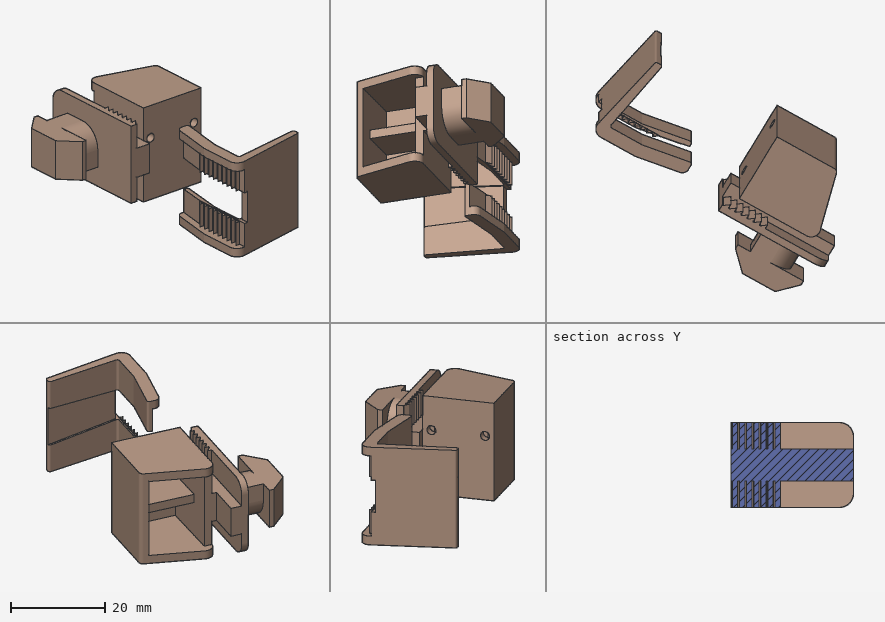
import cadquery as cq
import math


overall_length = 58.15
overall_height = 22.0
wall = 2.0
inner_height = overall_height - 2 * wall
rib_top = 5.1
plate_tooth_count = 7
plate_teeth_length = 10.5
tooth_pitch = plate_teeth_length / plate_tooth_count
tooth_height = 0.95
tooth_flat = 0.3
tooth_slope = tooth_pitch - tooth_flat

plate_length = 26.0
plate_thickness = 1.55
plate_corner_radius = 3.0
rib_height = 6.8
rib_step_x = 7.45
rib_low_top = 4.1

lug_center_x = 9.95
lug_height = 9.0
stem_width = 10.0
stem_length = 5.7
stem_corner_radius = stem_width / 2
head_width = 16.05
head_tip_width = 8.0
head_edge = 1.05
lug_length = 10.75

box_right = 23.9
box_back = 21.0
box_slant = math.radians(15)
box_front_radius = 2.0
box_back_radius = 1.0
cavity_front = rib_top + wall
cavity_back = box_back - wall
cavity_draft = math.radians(0.8)
divider_left = 12.5
divider_thickness = 2.0
hole_diameter = 2.0
hole_z = 3.45

clip_left = 36.5
clip_front = 2.15
clip_back = clip_front + 20.35
arm_bend_x = 47.65
arm_slant = math.radians(9.5)
arm_tip_radius = 1.5
small_radius = 0.45
leg_inner_base_x = 55.65
leg_inner_tip_x = 52.75
leg_tip_width = 1.7
leg_outer_slant = math.radians(11.6)
leg_corner_radius = 2.0
clip_tooth_count = 9
clip_tooth_start = 43.15
clip_tooth_root_y = 4.65
clip_tooth_half_gap = 3.7
slot_half_width = 3.6
slot_flare = math.radians(3)
leg_recess = 0.45
clearance = 0.6


def prism(points, height):
    """Extrude an XY outline by height, centred on Z = 0."""
    return cq.Workplane("XY").polyline(points).close().extrude(height / 2, both=True)


def block(x0, x1, y0, y1, height):
    """Box between X and Y limits, centred on Z = 0."""
    return prism([(x0, y0), (x1, y0), (x1, y1), (x0, y1)], height)


def round_edge(body, x, y, radius):
    """Fillet the vertical edge that passes through the corner (x, y)."""
    reach = 0.03
    near = cq.selectors.BoxSelector(
        (x - reach, y - reach, -overall_height), (x + reach, y + reach, overall_height)
    )
    return body.edges("|Z").edges(near).fillet(radius)


def make_plate():
    """Plate with rounded left corners, the stepped rib and two rows of teeth."""
    plate = block(0, plate_length, 0, plate_thickness, inner_height)
    plate = plate.edges("|Y and <X").fillet(plate_corner_radius)
    rib = prism(
        [
            (0, 0),
            (plate_length, 0),
            (plate_length, rib_top),
            (rib_step_x, rib_top),
            (rib_step_x, rib_low_top),
            (0, rib_low_top),
        ],
        rib_height,
    )
    teeth_start = plate_length - plate_teeth_length
    outline = [(plate_length, 0), (teeth_start, 0)]
    for i in range(plate_tooth_count):
        x = teeth_start + i * tooth_pitch
        outline += [
            (x, plate_thickness),
            (x, plate_thickness + tooth_height),
            (x + tooth_slope, plate_thickness),
        ]
    outline.append((plate_length, plate_thickness))
    return plate.union(rib).union(prism(outline, inner_height))


def make_lug():
    """Quarter-turn lug: stem with two opposite round corners and a tapered head."""
    stem = cq.Workplane("XY").box(stem_width, stem_length, lug_height)
    stem = stem.translate((lug_center_x, -stem_length / 2, 0))
    stem = stem.edges("|Y").edges("(>X and >Z) or (<X and <Z)").fillet(stem_corner_radius)
    half_head = head_width / 2
    half_tip = head_tip_width / 2
    head = prism(
        [
            (lug_center_x - half_head, -stem_length),
            (lug_center_x - half_head, -stem_length - head_edge),
            (lug_center_x - half_tip, -lug_length),
            (lug_center_x + half_tip, -lug_length),
            (lug_center_x + half_head, -stem_length - head_edge),
            (lug_center_x + half_head, -stem_length),
        ],
        lug_height,
    )
    return stem.union(head)


def make_box():
    """Box open on the slanted left side, with a divider and holes in its end wall."""
    corner_tangent = box_front_radius / math.tan((math.pi / 2 - box_slant) / 2)
    front_left = rib_step_x - corner_tangent
    back_left = front_left + (box_back - rib_top) * math.tan(box_slant)
    box = prism(
        [(front_left, rib_top), (box_right, rib_top), (box_right, box_back), (back_left, box_back)],
        overall_height,
    )
    box = round_edge(box, front_left, rib_top, box_front_radius)
    box = round_edge(box, back_left, box_back, box_back_radius)

    cavity_end = box_right - wall
    widening = (cavity_end - rib_step_x) * math.tan(cavity_draft)
    cavity = prism(
        [
            (0, rib_top),
            (rib_step_x, rib_top),
            (rib_step_x, cavity_front - widening),
            (cavity_end, cavity_front),
            (cavity_end, cavity_back),
            (rib_step_x, cavity_back + widening),
            (0, cavity_back + widening),
        ],
        inner_height,
    )
    divider = block(divider_left, box_right, rib_top + wall / 2, box_back - wall / 2, divider_thickness)
    box = box.cut(cavity).union(divider)

    for y in (cavity_front, cavity_back):
        hole = cq.Workplane("YZ").center(y, hole_z).circle(hole_diameter / 2).extrude(wall)
        box = box.cut(hole.translate((cavity_end, 0, 0)))
    return box


def make_housing():
    return make_plate().union(make_lug()).union(make_box())


def make_clip_blank():
    """L-shaped clip profile at full height: bent arm along X and tapered leg along Y."""
    arm_rise = (arm_bend_x - clip_left) * math.tan(arm_slant)
    corner_tangent = leg_corner_radius / math.tan((math.pi / 2 - leg_outer_slant) / 2)
    corner_x = overall_length - leg_corner_radius + corner_tangent
    leg_outer_tip_x = leg_inner_tip_x + leg_tip_width
    blank = prism(
        [
            (clip_left, clip_front + arm_rise),
            (arm_bend_x, clip_front),
            (corner_x, clip_front),
            (leg_outer_tip_x, clip_back),
            (leg_inner_tip_x, clip_back),
            (leg_inner_base_x, rib_top),
            (arm_bend_x, rib_top),
            (clip_left, rib_top + arm_rise),
        ],
        overall_height,
    )
    blank = round_edge(blank, clip_left, clip_front + arm_rise, arm_tip_radius)
    blank = round_edge(blank, corner_x, clip_front, leg_corner_radius)
    blank = round_edge(blank, clip_left, rib_top + arm_rise, small_radius)
    for x, y in ((leg_outer_tip_x, clip_back), (leg_inner_tip_x, clip_back), (leg_inner_base_x, rib_top)):
        blank = round_edge(blank, x, y, small_radius)
    return blank


def make_relief():
    """Space in front of the arm between the two flanges."""
    root_rise = (clip_tooth_start - clip_left) * math.tan(arm_slant)
    return prism(
        [
            (clip_left, 0),
            (overall_length + clearance, 0),
            (overall_length + clearance, clip_tooth_root_y),
            (clip_tooth_start, clip_tooth_root_y),
            (clip_left, clip_tooth_root_y + root_rise),
        ],
        inner_height,
    )


def make_clip_teeth():
    """Saw teeth in front of the arm, split by the slot into two rows."""
    tip_y = clip_tooth_root_y - tooth_height
    outline = [(clip_tooth_start, rib_top)]
    for i in range(clip_tooth_count):
        x = clip_tooth_start + i * tooth_pitch
        outline += [
            (x, clip_tooth_root_y),
            (x + tooth_slope, tip_y),
            (x + tooth_slope, clip_tooth_root_y),
        ]
    teeth_end = clip_tooth_start + clip_tooth_count * tooth_pitch
    outline.append((teeth_end, rib_top))
    gap = block(clip_left, overall_length, 0, clip_tooth_root_y, 2 * clip_tooth_half_gap)
    return prism(outline, inner_height).cut(gap)


def make_slot():
    """Slot through the arm that flares along the leg and recesses its inner face."""
    leg_lean = (leg_inner_base_x - leg_inner_tip_x) / (clip_back - rib_top)
    cut_back = clip_back + clearance
    cut_right = overall_length + clearance
    floor_y = rib_top + leg_recess
    recess_base_x = leg_inner_base_x + leg_recess
    outline = prism(
        [
            (clip_left, 0),
            (cut_right, 0),
            (cut_right, floor_y),
            (recess_base_x - leg_lean * (floor_y - rib_top), floor_y),
            (recess_base_x - leg_lean * (cut_back - rib_top), cut_back),
            (clip_left, cut_back),
        ],
        inner_height,
    )
    front_half_width = slot_half_width - floor_y * math.tan(slot_flare)
    back_half_width = front_half_width + cut_back * math.tan(slot_flare)
    flare = (
        cq.Workplane("YZ")
        .polyline(
            [
                (0, -front_half_width),
                (cut_back, -back_half_width),
                (cut_back, back_half_width),
                (0, front_half_width),
            ]
        )
        .close()
        .extrude(cut_right)
    )
    return outline.intersect(flare)


def make_clip():
    return make_clip_blank().cut(make_relief()).union(make_clip_teeth()).cut(make_slot())


housing = make_housing()
clip = make_clip()
result = cq.Compound.makeCompound([housing.val(), clip.val()])